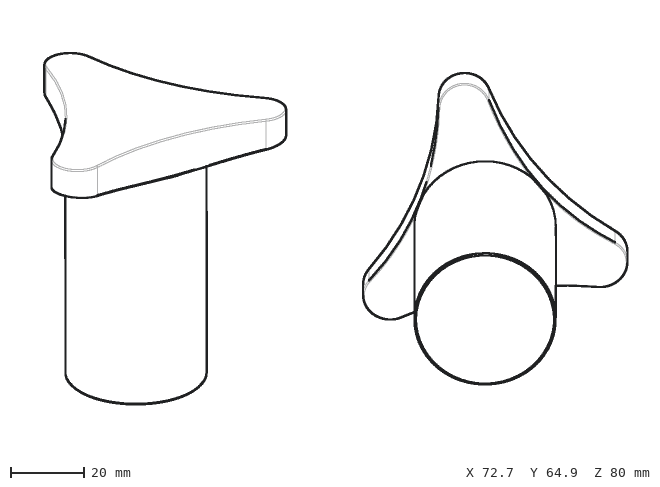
import cadquery as cq
import math

total_height = 80.0

stem_diameter = 38.6
stem_edge_chamfer = 0.5

lobe_count = 3
lobe_center_distance = 33.8
lobe_radius = 7.1
flank_radius = 84.8
head_hub_thickness = 12.1
head_tip_thickness = 8.3
head_edge_fillet = 0.4

stem_radius = stem_diameter / 2
tip_distance = lobe_center_distance + lobe_radius
blank_radius = tip_distance + lobe_radius
stem_top = total_height - head_hub_thickness
lobe_pitch = 360.0 / lobe_count
first_lobe_angle = -90.0


def polar(distance, angle):
    """Point at a distance from the axis and an angle in degrees from +X."""
    return (
        distance * math.cos(math.radians(angle)),
        distance * math.sin(math.radians(angle)),
    )


def head_outline():
    """Closed outline of round lobes joined by tangent concave arcs."""
    half_pitch = lobe_pitch / 2
    lobe_offset, lobe_along = polar(lobe_center_distance, 90 - half_pitch)
    center_spacing = flank_radius + lobe_radius
    flank_center_distance = lobe_along + math.sqrt(center_spacing**2 - lobe_offset**2)
    flank_middle_distance = flank_center_distance - flank_radius

    tangent_angle = half_pitch + math.degrees(math.asin(lobe_offset / center_spacing))

    def tangent_point(lobe_angle, side):
        center_x, center_y = polar(lobe_center_distance, lobe_angle)
        offset_x, offset_y = polar(lobe_radius, lobe_angle + side * tangent_angle)
        return (center_x + offset_x, center_y + offset_y)

    outline = cq.Workplane("XY").moveTo(*tangent_point(first_lobe_angle, -1))
    for index in range(lobe_count):
        lobe_angle = first_lobe_angle + index * lobe_pitch
        outline = outline.threePointArc(
            polar(tip_distance, lobe_angle),
            tangent_point(lobe_angle, 1),
        ).threePointArc(
            polar(flank_middle_distance, lobe_angle + half_pitch),
            tangent_point(lobe_angle + lobe_pitch, -1),
        )
    return outline.close()


def make_head():
    """Lobed plate with a conical underside rising towards the lobe tips."""
    plate = head_outline().extrude(total_height)
    slope_run = tip_distance - stem_radius
    underside_slope = (head_hub_thickness - head_tip_thickness) / slope_run
    apex_height = stem_top - underside_slope * stem_radius
    dished_blank = (
        cq.Workplane("XZ")
        .moveTo(0, apex_height)
        .lineTo(blank_radius, apex_height + underside_slope * blank_radius)
        .lineTo(blank_radius, total_height)
        .lineTo(0, total_height)
        .close()
        .revolve(360, (0, 0, 0), (0, 1, 0))
    )
    head = plate.intersect(dished_blank)
    return head.edges("not |Z").fillet(head_edge_fillet)


head = make_head()
stem = cq.Workplane("XY").circle(stem_radius).extrude(stem_top)
result = head.union(stem)
result = result.faces("<Z").edges().chamfer(stem_edge_chamfer)